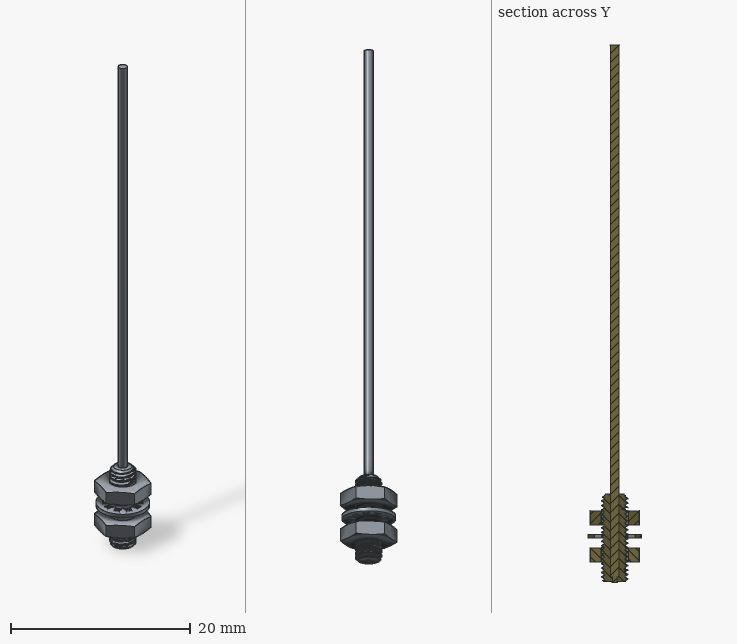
import cadquery as cq
import math

TOTAL_HEIGHT = 59.9
CABLE_EXPOSED_LENGTH = 50.0
CORE_PROTRUSION = 0.1

CABLE_RADIUS = 0.51
CORE_RADIUS = 0.3
CORE_STEP_HEIGHT = 0.6

THREAD_RADIUS = 1.5
THREAD_PITCH = 0.5
THREAD_ROOT_RADIUS = 1.2
THREAD_CREST_WIDTH = 0.03
THREAD_FLANK_ANGLE = 30.0
RIDGE_EMBEDMENT = 0.03
THREAD_START_ANGLE = 155.0
BARREL_TOP_RADIUS = 1.0
BARREL_BASE_RADIUS = THREAD_ROOT_RADIUS
ENVELOPE_RADIUS = 1.55

NUT_SIDES = 6
NUT_WIDTH_ACROSS_CORNERS = 6.35
NUT_THICKNESS = 1.6
NUT_FACE_RADIUS = 2.7
NUT_CHAMFER_ANGLE = 15.0
NUT_BASE_HEIGHTS = (2.3, 6.4)

WASHER_RADIUS = 3.0
WASHER_THICKNESS = 0.4
WASHER_BASE_HEIGHT = 5.0
WASHER_NOTCH_COUNT = 10
WASHER_NOTCH_RADIUS = 2.3
WASHER_NOTCH_WIDTH = 0.65

BARREL_BASE_HEIGHT = CORE_PROTRUSION
BARREL_TOP_HEIGHT = TOTAL_HEIGHT - CABLE_EXPOSED_LENGTH
BARREL_LENGTH = BARREL_TOP_HEIGHT - BARREL_BASE_HEIGHT


def cylinder(radius, base_height, length):
    """Upright cylinder on the Z axis."""
    return cq.Workplane("XY").workplane(offset=base_height).circle(radius).extrude(length)


def cable():
    """Cable whose core runs out through the end of the barrel."""
    core = cylinder(CORE_RADIUS, 0, CORE_STEP_HEIGHT)
    sheath = cylinder(CABLE_RADIUS, CORE_STEP_HEIGHT, TOTAL_HEIGHT - CORE_STEP_HEIGHT)
    return core.union(sheath)


def outline_solid(points):
    """Solid of revolution about the Z axis from (radius, height) points."""
    return cq.Workplane("XZ").polyline(points).close().revolve(360, (0, 0), (0, 1))


def thread_ridge():
    """Helical V ridge, sunk a little into the thread core, running one pitch past both barrel ends."""
    path = cq.Wire.makeHelix(THREAD_PITCH, BARREL_LENGTH + 2 * THREAD_PITCH, THREAD_RADIUS)
    base_radius = THREAD_ROOT_RADIUS - RIDGE_EMBEDMENT
    crest_half = THREAD_CREST_WIDTH / 2
    flank_rise = (THREAD_RADIUS - base_radius) * math.tan(math.radians(THREAD_FLANK_ANGLE))
    base_half = crest_half + flank_rise
    profile = cq.Workplane("XZ").polyline(
        [
            (base_radius, -base_half),
            (THREAD_RADIUS, -crest_half),
            (THREAD_RADIUS, crest_half),
            (base_radius, base_half),
        ]
    ).close()
    ridge = profile.sweep(cq.Workplane(obj=path), isFrenet=True)
    start_height = BARREL_BASE_HEIGHT - THREAD_PITCH
    return ridge.rotate((0, 0, 0), (0, 0, 1), THREAD_START_ANGLE).translate((0, 0, start_height))


def barrel():
    """Threaded barrel with tapered ends, bored to fit the cable and its core."""
    overrun = 2 * THREAD_PITCH
    core_base = BARREL_BASE_HEIGHT - overrun
    thread_core = cylinder(THREAD_ROOT_RADIUS, core_base, BARREL_LENGTH + 2 * overrun)
    base_taper = ENVELOPE_RADIUS - BARREL_BASE_RADIUS
    top_taper = ENVELOPE_RADIUS - BARREL_TOP_RADIUS
    envelope = outline_solid(
        [
            (0, BARREL_BASE_HEIGHT),
            (BARREL_BASE_RADIUS, BARREL_BASE_HEIGHT),
            (ENVELOPE_RADIUS, BARREL_BASE_HEIGHT + base_taper),
            (ENVELOPE_RADIUS, BARREL_TOP_HEIGHT - top_taper),
            (BARREL_TOP_RADIUS, BARREL_TOP_HEIGHT),
            (0, BARREL_TOP_HEIGHT),
        ]
    )
    return thread_core.union(thread_ridge()).intersect(envelope).cut(cable())


def nut(base_height):
    """Hexagon nut with corners on the Y axis and both faces chamfered."""
    corner_radius = NUT_WIDTH_ACROSS_CORNERS / 2
    chamfer_drop = (corner_radius - NUT_FACE_RADIUS) * math.tan(math.radians(NUT_CHAMFER_ANGLE))
    hexagon = (
        cq.Workplane("XY")
        .polygon(NUT_SIDES, NUT_WIDTH_ACROSS_CORNERS)
        .extrude(NUT_THICKNESS)
        .rotate((0, 0, 0), (0, 0, 1), 180 / NUT_SIDES)
    )
    envelope = outline_solid(
        [
            (THREAD_RADIUS, 0),
            (NUT_FACE_RADIUS, 0),
            (corner_radius, chamfer_drop),
            (corner_radius, NUT_THICKNESS - chamfer_drop),
            (NUT_FACE_RADIUS, NUT_THICKNESS),
            (THREAD_RADIUS, NUT_THICKNESS),
        ]
    )
    return hexagon.intersect(envelope).translate((0, 0, base_height))


def washer():
    """Lock washer with notches between the flat teeth around its bore."""
    disc = cylinder(WASHER_RADIUS, WASHER_BASE_HEIGHT, WASHER_THICKNESS)
    notches = (
        cq.Workplane("XY")
        .workplane(offset=WASHER_BASE_HEIGHT)
        .polarArray(WASHER_NOTCH_RADIUS / 2, 0, 360, WASHER_NOTCH_COUNT)
        .rect(WASHER_NOTCH_RADIUS, WASHER_NOTCH_WIDTH)
        .extrude(WASHER_THICKNESS)
    )
    bore = cylinder(THREAD_RADIUS, WASHER_BASE_HEIGHT, WASHER_THICKNESS)
    return disc.cut(bore).cut(notches)


nuts = [nut(base_height) for base_height in NUT_BASE_HEIGHTS]

result = cq.Compound.makeCompound(
    [cable().val(), barrel().val(), washer().val(), *[one_nut.val() for one_nut in nuts]]
)